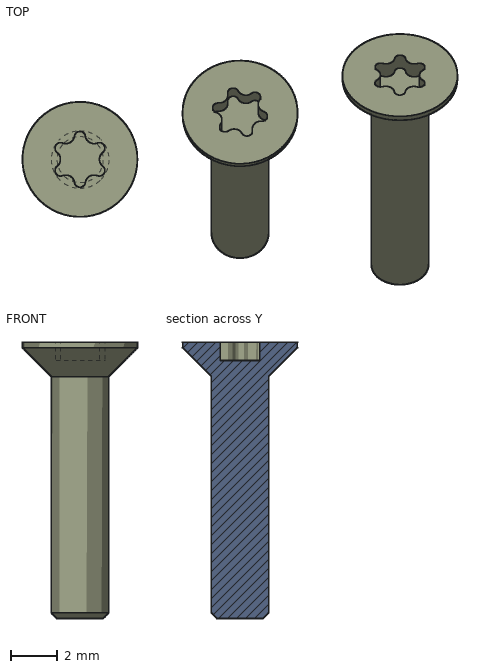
import cadquery as cq
import math

total_length = 12.0
shank_diameter = 2.5
head_diameter = 5.0
rim_height = 0.25
tip_chamfer = 0.25

lobe_count = 6
recess_outer_diameter = 2.42
recess_inner_diameter = 1.69
lobe_tip_radius = 0.24
recess_depth = 0.8

shank_radius = shank_diameter / 2
head_radius = head_diameter / 2
head_height = rim_height + head_radius - shank_radius


def polar(radius, angle):
    """Point in the XY plane at the given radius and angle in radians."""
    return radius * math.cos(angle), radius * math.sin(angle)


def make_body():
    """Head, shank and chamfered tip, revolved about the Z axis."""
    profile = [
        (0, 0),
        (head_radius, 0),
        (head_radius, -rim_height),
        (shank_radius, -head_height),
        (shank_radius, -total_length + tip_chamfer),
        (shank_radius - tip_chamfer, -total_length),
        (0, -total_length),
    ]
    return cq.Workplane("XZ").polyline(profile).close().revolve(360, (0, 0), (0, 1))


def make_recess():
    """Six-lobe prism whose lobe tips blend tangentially into the concave flanks."""
    outer_radius = recess_outer_diameter / 2
    inner_radius = recess_inner_diameter / 2
    lobe_pitch = 2 * math.pi / lobe_count
    half_pitch = lobe_pitch / 2
    tip_center_radius = outer_radius - lobe_tip_radius

    projection = tip_center_radius * math.cos(half_pitch)
    flank_radius = (
        tip_center_radius**2 + inner_radius**2 - 2 * projection * inner_radius - lobe_tip_radius**2
    ) / (2 * (lobe_tip_radius - inner_radius + projection))
    flank_center_x, flank_center_y = polar(inner_radius + flank_radius, half_pitch)

    tip_share = lobe_tip_radius / (lobe_tip_radius + flank_radius)
    tangent_x = tip_center_radius + tip_share * (flank_center_x - tip_center_radius)
    tangent_y = tip_share * flank_center_y
    tangent_radius = math.hypot(tangent_x, tangent_y)
    tangent_angle = math.atan2(tangent_y, tangent_x)

    first_lobe_angle = math.pi / 2
    outline = cq.Workplane("XY").moveTo(*polar(tangent_radius, first_lobe_angle - tangent_angle))
    for index in range(lobe_count):
        lobe_angle = first_lobe_angle + index * lobe_pitch
        next_lobe_angle = lobe_angle + lobe_pitch
        outline = outline.threePointArc(
            polar(outer_radius, lobe_angle),
            polar(tangent_radius, lobe_angle + tangent_angle),
        )
        outline = outline.threePointArc(
            polar(inner_radius, lobe_angle + half_pitch),
            polar(tangent_radius, next_lobe_angle - tangent_angle),
        )
    return outline.close().extrude(-recess_depth)


result = make_body().cut(make_recess())